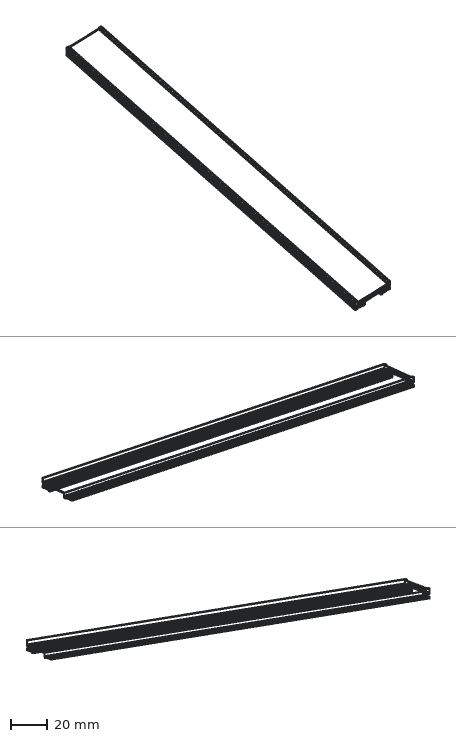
import cadquery as cq

length = 250.0
width = 25.2
height = 6.0
half_width = width / 2

rim_width = 1.8
rim_height = 0.62
rim_bottom = 2.8
rim_chamfer = 0.8
deck_top = height - rim_height
ledge_bottom = 3.5
ledge_inner = 9.5
rim_foot_inner = 10.5
deck_bottom = 2.8

channel_half_width = 9.0
channel_floor = 3.2
channel_roof = 4.0

leg_outer = 7.2
leg_inner = 5.5
leg_chamfer = 0.8
flange_top = 1.2
flange_bottom = 0.88
lip_bottom = 0.5
lip_width = 1.8
flange_root = 9.8


def extrude_profile(points):
    """Extrude a closed YZ outline over the full length, centred on X."""
    return cq.Workplane("YZ").polyline(points).close().extrude(length / 2, both=True)


def make_half():
    """One side of the profile, from the middle plane out to +Y."""
    outline = [
        (0, deck_top),
        (half_width - rim_width, deck_top),
        (half_width - rim_width, height),
        (half_width, height),
        (half_width, rim_bottom + rim_chamfer),
        (half_width - rim_chamfer, rim_bottom),
        (rim_foot_inner, rim_bottom),
        (rim_foot_inner, ledge_bottom),
        (ledge_inner, ledge_bottom),
        (ledge_inner, deck_bottom),
        (leg_outer, deck_bottom),
        (leg_outer, flange_top),
        (half_width, flange_top),
        (half_width, lip_bottom),
        (half_width - lip_width, lip_bottom),
        (half_width - lip_width, flange_bottom),
        (flange_root, flange_bottom),
        (flange_root, lip_bottom),
        (leg_outer, lip_bottom),
        (leg_outer, 0),
        (leg_inner + leg_chamfer, 0),
        (leg_inner, leg_chamfer),
        (leg_inner, deck_bottom),
        (0, deck_bottom),
    ]
    return extrude_profile(outline)


def make_channel():
    """Flat passage running the whole length inside the deck."""
    return extrude_profile([
        (-channel_half_width, channel_floor),
        (channel_half_width, channel_floor),
        (channel_half_width, channel_roof),
        (-channel_half_width, channel_roof),
    ])


half = make_half()
profile = half.union(half.mirror("XZ"))
result = profile.cut(make_channel()).translate((0, 0, -height / 2))